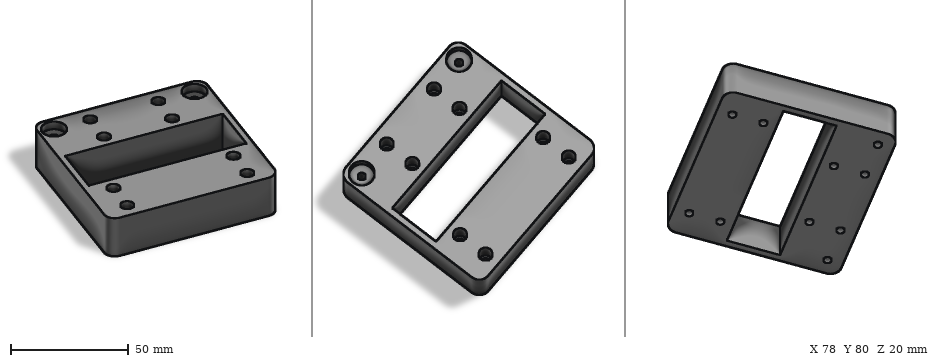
import cadquery as cq

length_x = 78.0
width_y = 80.0
height = 20.0
corner_radius = 5.0

window_x = 24.0
end_wall = 3.0
window_y = width_y - 2 * end_wall

screw_diameter = 3.4
head_diameter = 5.9
head_depth = 10.0
mount_diameter = 11.0
mount_depth = 4.0

outer_column_x = 32.0
inner_column_x = 18.0
left_row_y = 16.0
right_row_y = 28.2
mount_row_y = 33.0


def mirrored_points(columns, row_y):
    """Points in the given columns, at +row_y and -row_y."""
    return [(x, side * row_y) for x in columns for side in (1, -1)]


def make_block():
    """Block with rounded vertical corners, standing on Z = 0."""
    block = cq.Workplane("XY").box(length_x, width_y, height, centered=(True, True, False))
    return block.edges("|Z").fillet(corner_radius)


def cut_window(body):
    """Rectangular opening through the full height."""
    return body.faces(">Z").workplane(origin=(0, 0, height)).rect(window_x, window_y).cutThruAll()


def cut_counterbores(body, points, bore_diameter, bore_depth):
    """Through screw holes counterbored from the top face."""
    top = body.faces(">Z").workplane(origin=(0, 0, height))
    return top.pushPoints(points).cboreHole(screw_diameter, bore_diameter, bore_depth)


left_points = mirrored_points((-outer_column_x, -inner_column_x), left_row_y)
right_points = mirrored_points((inner_column_x, outer_column_x), right_row_y)
mount_points = mirrored_points((-outer_column_x,), mount_row_y)

result = make_block()
result = cut_window(result)
result = cut_counterbores(result, left_points + right_points, head_diameter, head_depth)
result = cut_counterbores(result, mount_points, mount_diameter, mount_depth)